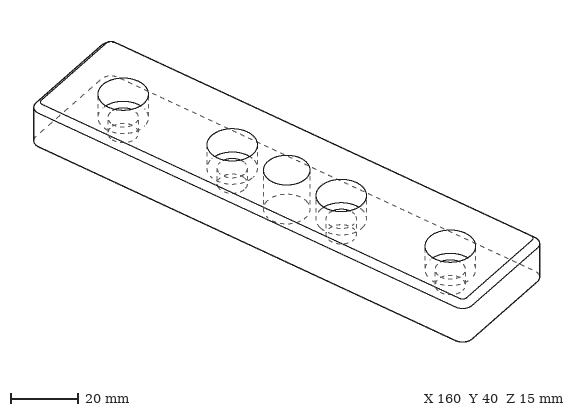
import cadquery as cq

length = 160.0
width = 40.0
thickness = 15.0
corner_radius = 3.5
top_chamfer = 2.0

screw_diameter = 9.0
counterbore_diameter = 15.0
counterbore_depth = 9.0
inner_spacing = 40.0
outer_spacing = 120.0

center_hole_diameter = 13.84


def make_plate():
    """Plate resting on Z = 0, with rounded corners and a chamfered top rim."""
    plate = cq.Workplane("XY").box(length, width, thickness, centered=(True, True, False))
    plate = plate.edges("|Z").fillet(corner_radius)
    return plate.faces(">Z").edges().chamfer(top_chamfer)


def cut_screw_holes(plate):
    """Counterbored holes in pairs on either side of the centre."""
    positions = []
    for spacing in (inner_spacing, outer_spacing):
        positions.append((-spacing / 2, 0))
        positions.append((spacing / 2, 0))
    top_plane = plate.faces(">Z").workplane(origin=(0, 0, thickness))
    return top_plane.pushPoints(positions).cboreHole(
        screw_diameter, counterbore_diameter, counterbore_depth
    )


def cut_center_hole(plate):
    """Plain hole through the middle of the plate."""
    top_plane = plate.faces(">Z").workplane(origin=(0, 0, thickness))
    return top_plane.hole(center_hole_diameter)


result = cut_center_hole(cut_screw_holes(make_plate()))